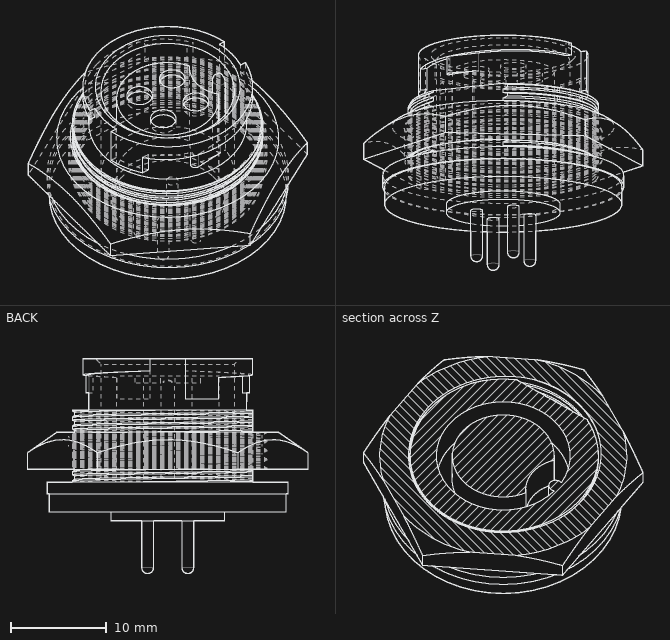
import cadquery as cq
import math


TOP_Z = 12.9
THREAD_TOP_Z = 7.5
PIN_TIP_Z = -9.57

FLANGE_RADIUS = 12.6
FLANGE_RIM_HEIGHT = 1.25
BACK_RADIUS = 12.4
BACK_Z = -3.15
BOSS_RADIUS = 5.95
BOSS_Z = -4.05

THREAD_RADIUS = 9.97
THREAD_ROOT_RADIUS = 9.75
THREAD_PITCH = 0.95
CREST_HEIGHT_AT_X = 6.63
GROOVE_ROOT_WIDTH = 0.35
GROOVE_MOUTH_WIDTH = 0.65
THREAD_OVERRUN = 3 * THREAD_PITCH
FLAT_X = -8.9

COLLAR_RADIUS = 8.26
BAND_RADIUS = 8.87
BAND_DEPTH = 4.25
ENTRY_HALF_WIDTH = 1.88
ENTRY_ANGLE = 270.0
STOP_END_X = 5.3
RAMP_LEAD = 1.94
RAMP_DEPTH_AT_ENTRY = 1.22
RAMP_SWEEP = 155.0

BUMP_DEPTH = 3.6
BUMP_START_ANGLE = 6.0
BUMP_RAMP_LENGTH = 3.12
BUMP_NOSE_RADIUS = 0.5

CAVITY_RADIUS = 6.96
CAVITY_FLOOR_Z = 0.0
MOUTH_CHAMFER = 0.6
INSERT_RADIUS = 5.34
INSERT_RECESS = 1.8
SCOOP_RADIUS = 3.95
SCOOP_CENTER_Y = 7.7
CONTACT_OFFSET = 2.1
SOCKET_RADIUS = 1.33
SOCKET_DEPTH = 0.75
KEY_RADIUS = 0.73
KEY_Y = 6.68
KEY_TIP_DEPTH = 2.25

PIN_RADIUS = 0.62

NUT_ACROSS_FLATS = 25.4
NUT_BOTTOM_Z = 1.33
NUT_TOP_Z = 5.2
NUT_TOP_RADIUS = 11.6
NUT_CHAMFER_ANGLE = 35.0
NUT_BORE_RADIUS = 9.87
NUT_THREAD_RADIUS = 10.35
NUT_GROOVE_ROOT_WIDTH = 0.1
NUT_GROOVE_MOUTH_WIDTH = 0.64

OVERLAP = 0.1


def cylinder(radius, bottom, top):
    return cq.Workplane("XY").workplane(offset=bottom).circle(radius).extrude(top - bottom)


def box(x_min, x_max, y_min, y_max, bottom, top):
    size = (x_max - x_min, y_max - y_min, top - bottom)
    return cq.Workplane("XY").box(*size, centered=False).translate((x_min, y_min, bottom))


def half_turn(shape):
    return shape.rotate((0, 0, 0), (0, 0, 1), 180)


def helical_sweep(section, radius, pitch, rise):
    """Sweep (radius, height) points up a right-hand helix that starts on the +X axis."""
    helix = cq.Wire.makeHelix(pitch, rise, radius)
    return cq.Workplane("XZ").polyline(section).close().sweep(cq.Workplane(helix), isFrenet=True)


def thread_cutter(mouth_radius, root_radius, mouth_width, root_width, center_z, bottom, top):
    """Helical groove that crosses the +X axis at center_z and runs past bottom and top."""
    overrun = OVERLAP if mouth_radius > root_radius else -OVERLAP
    flank = (mouth_width - root_width) / 2 / (mouth_radius - root_radius)
    mouth_half = root_width / 2 + flank * (mouth_radius + overrun - root_radius)
    root_half = root_width / 2
    section = [
        (mouth_radius + overrun, -mouth_half),
        (root_radius, -root_half),
        (root_radius, root_half),
        (mouth_radius + overrun, mouth_half),
    ]
    start_z = center_z - THREAD_PITCH * (math.ceil((center_z - bottom) / THREAD_PITCH) + 1)
    groove = helical_sweep(section, root_radius, THREAD_PITCH, top - start_z + THREAD_PITCH)
    return groove.translate((0, 0, start_z))


def threaded_barrel():
    barrel = cylinder(THREAD_RADIUS, -THREAD_OVERRUN, THREAD_TOP_Z + THREAD_OVERRUN)
    groove = thread_cutter(
        THREAD_RADIUS, THREAD_ROOT_RADIUS, GROOVE_MOUTH_WIDTH, GROOVE_ROOT_WIDTH,
        CREST_HEIGHT_AT_X - THREAD_PITCH / 2, 0, THREAD_TOP_Z,
    )
    reach = 2 * THREAD_RADIUS
    trimmed_length_and_flat = box(FLAT_X, reach, -reach, reach, 0, THREAD_TOP_Z)
    return barrel.cut(groove).intersect(trimmed_length_and_flat)


def bayonet_channel():
    """Half of the space under the bayonet band, from the -Y entry round -X to the +Y stop."""
    ramp_rise = RAMP_LEAD * RAMP_SWEEP / 360
    start_depth = RAMP_DEPTH_AT_ENTRY + ramp_rise
    outer = BAND_RADIUS + OVERLAP
    inner = COLLAR_RADIUS - OVERLAP
    section = [(inner, -BAND_DEPTH), (outer, -BAND_DEPTH), (outer, 0), (inner, 0)]
    channel = helical_sweep(section, inner, RAMP_LEAD, ramp_rise)
    channel = channel.rotate((0, 0, 0), (0, 0, 1), ENTRY_ANGLE - RAMP_SWEEP)
    channel = channel.translate((0, 0, TOP_Z - start_depth))
    stop = box(-STOP_END_X, -ENTRY_HALF_WIDTH, 0, 2 * BAND_RADIUS, 0, 2 * TOP_Z)
    return channel.cut(stop)


def bayonet_band():
    """Collar with its raised band, opened by two entry slots and two ramped channels."""
    bottom = TOP_Z - BAND_DEPTH
    band = cylinder(BAND_RADIUS, bottom, TOP_Z)
    entry = box(-ENTRY_HALF_WIDTH, ENTRY_HALF_WIDTH, -2 * BAND_RADIUS, 2 * BAND_RADIUS, bottom, TOP_Z)
    channel = bayonet_channel()
    band = band.cut(entry).cut(channel).cut(half_turn(channel))
    return band.union(cylinder(COLLAR_RADIUS, THREAD_TOP_Z, TOP_Z))


def detent_bump():
    """Flat ramp that leaves the collar tangentially on the -X side and ends in a rounded nose."""
    bottom = TOP_Z - BUMP_DEPTH
    top = TOP_Z - RAMP_DEPTH_AT_ENTRY
    nose_x = -COLLAR_RADIUS + BUMP_NOSE_RADIUS
    ramp = box(-COLLAR_RADIUS, nose_x, 0, BUMP_RAMP_LENGTH, bottom, top)
    nose = cylinder(BUMP_NOSE_RADIUS, bottom, top).translate((nose_x, BUMP_RAMP_LENGTH, 0))
    return ramp.union(nose).rotate((0, 0, 0), (0, 0, 1), BUMP_START_ANGLE)


def cavity():
    """Round cavity with a 45 degree chamfered mouth."""
    return cylinder(CAVITY_RADIUS, CAVITY_FLOOR_Z, TOP_Z).union(
        cq.Workplane("XY").workplane(offset=TOP_Z)
        .circle(CAVITY_RADIUS + MOUTH_CHAMFER)
        .workplane(offset=-MOUTH_CHAMFER)
        .circle(CAVITY_RADIUS)
        .loft()
    )


def contact_positions():
    """Plan positions of the four contacts, on the corners of a square."""
    offsets = (-CONTACT_OFFSET, CONTACT_OFFSET)
    return [(x, y, 0) for x in offsets for y in offsets]


def socket_insert():
    top = TOP_Z - INSERT_RECESS
    insert = cylinder(INSERT_RADIUS, CAVITY_FLOOR_Z, top)
    insert = insert.cut(cylinder(SCOOP_RADIUS, CAVITY_FLOOR_Z, top).translate((0, SCOOP_CENTER_Y, 0)))
    for position in contact_positions():
        insert = insert.cut(cylinder(SOCKET_RADIUS, top - SOCKET_DEPTH, top).translate(position))
    return insert


def domed_post(radius, base, tip):
    """Round post from base up to a hemispherical tip."""
    shoulder = tip - radius
    dome = cq.Workplane("XY").sphere(radius).translate((0, 0, shoulder))
    return cylinder(radius, base, shoulder).union(dome)


def solder_pin():
    """Post below the boss, made upright and mirrored to point down."""
    return domed_post(PIN_RADIUS, BOSS_Z, 2 * BOSS_Z - PIN_TIP_Z).mirror("XY", (0, 0, BOSS_Z))


def build_housing():
    body = threaded_barrel()
    body = body.union(cylinder(FLANGE_RADIUS, -FLANGE_RIM_HEIGHT, 0))
    body = body.union(cylinder(BACK_RADIUS, BACK_Z, -FLANGE_RIM_HEIGHT))
    body = body.union(cylinder(BOSS_RADIUS, BOSS_Z, BACK_Z))
    body = body.union(bayonet_band())
    bump = detent_bump()
    body = body.union(bump).union(half_turn(bump))
    body = body.cut(cavity()).union(socket_insert())
    key = domed_post(KEY_RADIUS, CAVITY_FLOOR_Z, TOP_Z - KEY_TIP_DEPTH)
    body = body.union(key.translate((0, KEY_Y, 0)))
    for position in contact_positions():
        body = body.union(solder_pin().translate(position))
    return body


def build_nut():
    corner_diameter = NUT_ACROSS_FLATS / math.cos(math.radians(30))
    height = NUT_TOP_Z - NUT_BOTTOM_Z
    blank = (
        cq.Workplane("XY").workplane(offset=NUT_BOTTOM_Z - THREAD_OVERRUN)
        .polygon(6, corner_diameter).circle(NUT_BORE_RADIUS).extrude(height + 2 * THREAD_OVERRUN)
    )
    groove = thread_cutter(
        NUT_BORE_RADIUS, NUT_THREAD_RADIUS, NUT_GROOVE_MOUTH_WIDTH, NUT_GROOVE_ROOT_WIDTH,
        CREST_HEIGHT_AT_X, NUT_BOTTOM_Z, NUT_TOP_Z,
    )

    cone_radius = NUT_TOP_RADIUS + height / math.tan(math.radians(NUT_CHAMFER_ANGLE))
    cone = (
        cq.Workplane("XY").workplane(offset=NUT_BOTTOM_Z).circle(cone_radius)
        .workplane(offset=height).circle(NUT_TOP_RADIUS).loft()
    )
    return blank.cut(groove).intersect(cone)


housing = build_housing()
nut = build_nut()
result = cq.Compound.makeCompound([housing.solids().val(), nut.solids().val()])